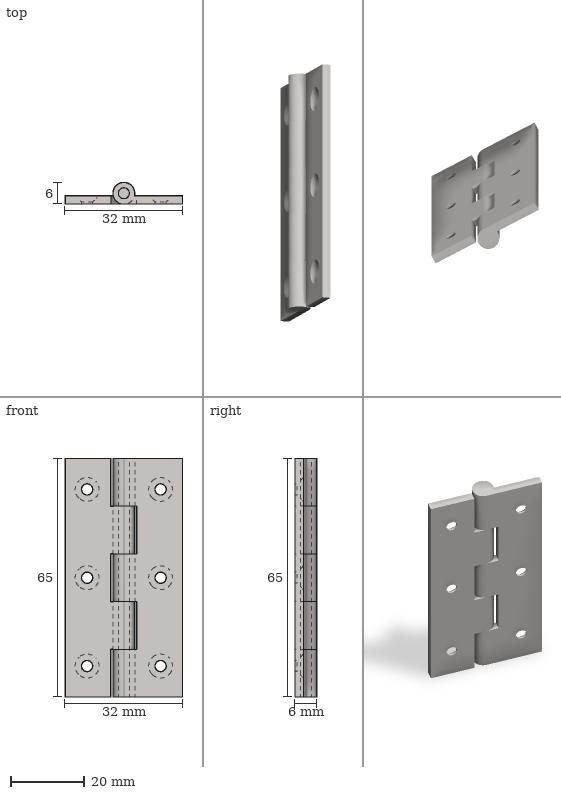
import cadquery as cq
import math

height = 65.0
leaf_width = 16.0
leaf_thickness = 2.35
barrel_diameter = 6.0
pin_diameter = 3.0
notch_reach = 3.5
knuckle_count = 5
screw_hole_diameter = 3.0
screw_hole_depth = 0.6
countersink_diameter = 6.5
screw_hole_offset = 10.0
screw_hole_pitch = 24.05

barrel_radius = barrel_diameter / 2
knuckle_height = height / knuckle_count
front_face_y = -barrel_radius
back_face_y = front_face_y + leaf_thickness
bottom_z = -height / 2
countersink_depth = leaf_thickness - screw_hole_depth
countersink_flare = (countersink_diameter - screw_hole_diameter) / 2
countersink_angle = 2 * math.degrees(math.atan(countersink_flare / countersink_depth))


def make_plate(side):
    """Flat plate from the notch wall to the outer edge; side is +1 for +X, -1 for -X."""
    width = leaf_width - notch_reach
    center_x = side * (notch_reach + width / 2)
    return cq.Workplane("XY").box(width, leaf_thickness, height).translate(
        (center_x, front_face_y + leaf_thickness / 2, 0)
    )


def make_knuckle(side, index):
    """Barrel segment whose leaf side runs straight down to the web that joins it to its plate."""
    arc_middle = barrel_radius * math.sqrt(0.5)
    profile = (
        cq.Workplane("XY", origin=(0, 0, bottom_z + index * knuckle_height))
        .moveTo(0, front_face_y)
        .threePointArc((-side * arc_middle, -arc_middle), (-side * barrel_radius, 0))
        .threePointArc((0, barrel_radius), (side * barrel_radius, 0))
        .lineTo(side * barrel_radius, back_face_y)
        .lineTo(side * notch_reach, back_face_y)
        .lineTo(side * notch_reach, front_face_y)
        .close()
    )
    return profile.extrude(knuckle_height)


def make_pin():
    """Plain pin running the full height of the hinge."""
    return cq.Workplane("XY").circle(pin_diameter / 2).extrude(height).translate((0, 0, bottom_z))


def cut_screw_holes(leaf, side):
    """Cut the column of three screw holes, countersunk from the back face."""
    places = [(-side * screw_hole_offset, row * screw_hole_pitch) for row in (-1, 0, 1)]
    back_plane = cq.Plane(origin=(0, back_face_y, 0), xDir=(-1, 0, 0), normal=(0, 1, 0))
    return (
        leaf.copyWorkplane(cq.Workplane(back_plane))
        .pushPoints(places)
        .cskHole(screw_hole_diameter, countersink_diameter, countersink_angle, depth=leaf_thickness)
    )


def make_leaf(side, first_knuckle):
    """Leaf with every second knuckle, starting from first_knuckle at the bottom."""
    leaf = make_plate(side)
    for index in range(first_knuckle, knuckle_count, 2):
        leaf = leaf.union(make_knuckle(side, index))
    leaf = leaf.cut(make_pin())
    return cut_screw_holes(leaf, side)


right_leaf = make_leaf(side=1, first_knuckle=0)
left_leaf = make_leaf(side=-1, first_knuckle=1)
pin = make_pin()

result = cq.Compound.makeCompound([right_leaf.val(), left_leaf.val(), pin.val()])